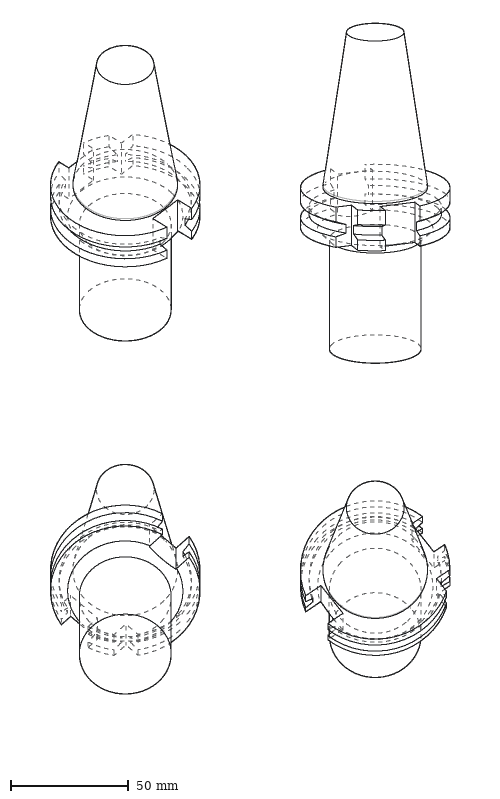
import cadquery as cq

total_height = 141.4
shank_top = 49.2
flange_bottom = 54.2
flange_top = 72.1
taper_bottom = 73.1

shank_diameter = 39.0
flange_diameter = 63.5
taper_large_diameter = 44.4
taper_small_diameter = 24.5

neck_diameter = shank_diameter + 2 * (flange_bottom - shank_top)

groove_floor_diameter = 56.1
groove_bottom = 58.8
groove_floor_bottom = 60.0
groove_floor_top = 63.8
groove_top = 65.6

slot_width = 15.8
left_slot_floor = 25.0
right_slot_floor = 22.8

notch_corner_x = -18.7
notch_corner_y = 18.5


def make_body():
    """Revolve the half profile of the holder about Z."""
    diameters_and_levels = [
        (0, 0),
        (shank_diameter, 0),
        (shank_diameter, shank_top),
        (neck_diameter, flange_bottom),
        (flange_diameter, flange_bottom),
        (flange_diameter, groove_bottom),
        (groove_floor_diameter, groove_floor_bottom),
        (groove_floor_diameter, groove_floor_top),
        (flange_diameter, groove_top),
        (flange_diameter, flange_top),
        (taper_large_diameter, flange_top),
        (taper_large_diameter, taper_bottom),
        (taper_small_diameter, total_height),
        (0, total_height),
    ]
    profile = [(diameter / 2, level) for diameter, level in diameters_and_levels]
    return cq.Workplane("XZ").polyline(profile).close().revolve(360, (0, 0), (0, 1))


def make_cutter(x_range, y_range):
    """Block spanning the given X and Y ranges, from the neck base to the flange top."""
    x_start, x_end = x_range
    y_start, y_end = y_range
    return cq.Workplane("XY").box(
        x_end - x_start, y_end - y_start, flange_top - shank_top, centered=False
    ).translate((x_start, y_start, shank_top))


slot_y_range = (-slot_width / 2, slot_width / 2)
left_slot = make_cutter((-flange_diameter, -left_slot_floor), slot_y_range)
right_slot = make_cutter((right_slot_floor, flange_diameter), slot_y_range)
notch = make_cutter((-flange_diameter, notch_corner_x), (notch_corner_y, flange_diameter))

result = make_body().cut(left_slot).cut(right_slot).cut(notch)